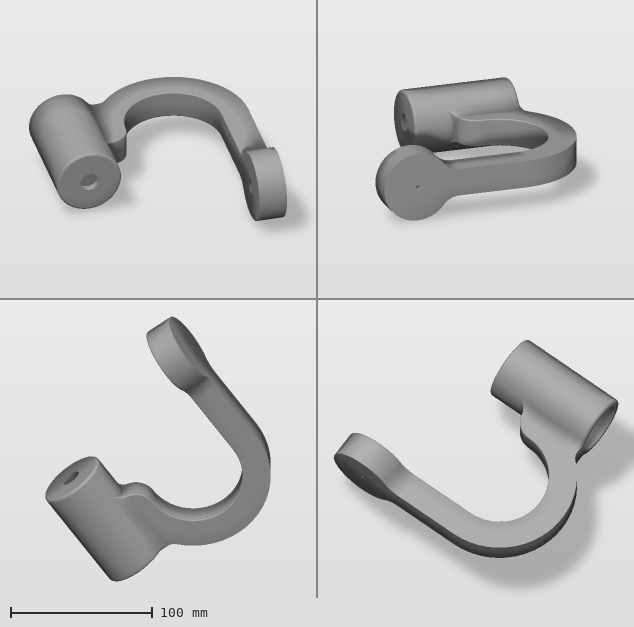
import cadquery as cq
import math

total_length = 159.7
arm_thickness = 20.0
half_thickness = arm_thickness / 2

outer_bend_radius = 54.8
inner_bend_radius = outer_bend_radius - arm_thickness
shoulder_radius = 15.0
heel_radius = 8.0
inner_edge_radius = 1.0

disc_diameter = 50.0
disc_radius = disc_diameter / 2
neck_radius = 15.0
pocket_diameter = 10.4
pocket_depth = 15.0
pin_hole_diameter = 2.5

tube_radius = 23.5
tube_length = 79.4
tube_start_x = 20.8
tube_edge_radius = 2.0
tube_axis_y = -128.4
bore_diameter = 37.2
end_wall = 5.0
end_hole_diameter = 13.3
blend_radius = 10.0

bend_x = outer_bend_radius
bend_y = -outer_bend_radius
disc_x = total_length - disc_radius
shoulder_y = bend_y - inner_bend_radius - shoulder_radius

blend_center_z = half_thickness + blend_radius
blend_top_y = tube_axis_y + math.sqrt((tube_radius + blend_radius) ** 2 - blend_center_z**2)
blend_angle = math.degrees(math.atan2(blend_center_z, blend_top_y - tube_axis_y))


def polar(center_x, center_y, radius, degrees):
    """The point at a given angle on a circle."""
    angle = math.radians(degrees)
    return center_x + radius * math.cos(angle), center_y + radius * math.sin(angle)


def mirrored(point):
    """The same profile point on the other side of the mid-thickness plane."""
    return point[0], -point[1]


blend_foot = polar(tube_axis_y, 0, tube_radius, blend_angle)
blend_middle = polar(blend_top_y, blend_center_z, blend_radius, (180 + blend_angle + 270) / 2)


def make_plan(height):
    """The hook in plan, from the straight back round to the shoulder and heel on the tube."""
    heel_x = tube_start_x - heel_radius
    heel_y = bend_y - math.sqrt((outer_bend_radius + heel_radius) ** 2 - (bend_x - heel_x) ** 2)
    heel_angle = math.degrees(math.atan2(bend_y - heel_y, bend_x - heel_x))

    flare_y = blend_foot[0] + blend_radius
    flare_x = bend_x + math.sqrt((shoulder_radius + blend_radius) ** 2 - (flare_y - shoulder_y) ** 2)
    flare_angle = math.degrees(math.atan2(flare_y - shoulder_y, flare_x - bend_x))

    return (
        cq.Workplane("XY")
        .workplane(offset=-height / 2)
        .moveTo(disc_x, 0)
        .lineTo(bend_x, 0)
        .threePointArc((0, bend_y), polar(heel_x, heel_y, heel_radius, heel_angle))
        .threePointArc(polar(heel_x, heel_y, heel_radius, heel_angle / 2), (tube_start_x, heel_y))
        .lineTo(tube_start_x, tube_axis_y)
        .lineTo(flare_x, tube_axis_y)
        .lineTo(flare_x, blend_foot[0])
        .threePointArc(
            polar(flare_x, flare_y, blend_radius, (180 + flare_angle + 270) / 2),
            polar(bend_x, shoulder_y, shoulder_radius, flare_angle),
        )
        .threePointArc(
            polar(bend_x, shoulder_y, shoulder_radius, (flare_angle + 90) / 2),
            (bend_x, shoulder_y + shoulder_radius),
        )
        .threePointArc((bend_x - inner_bend_radius, bend_y), (bend_x, bend_y + inner_bend_radius))
        .lineTo(disc_x, -arm_thickness)
        .close()
        .extrude(height)
    )


def make_side():
    """The arm seen along X: a flat slab that swells into the tube along the two blends."""
    return (
        cq.Workplane("YZ")
        .moveTo(0, half_thickness)
        .lineTo(blend_top_y, half_thickness)
        .threePointArc(blend_middle, blend_foot)
        .lineTo(tube_axis_y, 0)
        .lineTo(*mirrored(blend_foot))
        .threePointArc(mirrored(blend_middle), (blend_top_y, -half_thickness))
        .lineTo(0, -half_thickness)
        .close()
        .extrude(total_length)
    )


def make_disc():
    """The end disc, with concave necks blending it into the straight part of the arm."""
    neck_z = half_thickness + neck_radius
    neck_x = disc_x - math.sqrt((disc_radius + neck_radius) ** 2 - neck_z**2)
    neck_angle = math.degrees(math.atan2(neck_z, disc_x - neck_x))
    join = polar(disc_x, 0, disc_radius, 180 - neck_angle)
    middle = polar(neck_x, neck_z, neck_radius, -(90 + neck_angle) / 2)
    return (
        cq.Workplane("XZ")
        .moveTo(neck_x, half_thickness)
        .threePointArc(middle, join)
        .threePointArc((total_length, 0), mirrored(join))
        .threePointArc(mirrored(middle), (neck_x, -half_thickness))
        .close()
        .extrude(arm_thickness)
    )


def make_tube():
    """The solid tube body, before it is bored."""
    return (
        cq.Workplane("YZ", origin=(tube_start_x, tube_axis_y, 0))
        .circle(tube_radius)
        .extrude(tube_length)
    )


def make_foot_zone(height):
    """A block around the arm from the tube axis up to where the blends begin."""
    return (
        cq.Workplane("XY", origin=(0, tube_axis_y, 0))
        .box(total_length, blend_top_y - tube_axis_y, height, centered=(False, False, True))
    )


def round_edge(body, point, radius):
    """Round the edge nearest to a point, together with the edges that run smoothly on from it."""
    return body.edges(cq.NearestToPointSelector(point)).fillet(radius)


def cut_disc_hole(body):
    """A blind pocket in the inner face of the disc, with a pin hole on through the rest."""
    inner_face = cq.Workplane("XZ", origin=(disc_x, -arm_thickness, 0))
    pocket = inner_face.circle(pocket_diameter / 2).extrude(-pocket_depth)
    pin_hole = inner_face.circle(pin_hole_diameter / 2).extrude(-arm_thickness)
    return body.cut(pocket).cut(pin_hole)


def cut_tube_bore(body):
    """A wide bore from the open end of the tube, with a smaller hole through its end wall."""
    open_end = cq.Workplane("YZ", origin=(tube_start_x, tube_axis_y, 0))
    bore = open_end.circle(bore_diameter / 2).extrude(tube_length - end_wall)
    end_hole = open_end.circle(end_hole_diameter / 2).extrude(tube_length)
    return body.cut(bore).cut(end_hole)


arm = make_plan(2 * tube_radius).intersect(make_side()).union(make_disc())
arm = round_edge(arm, (total_length, -arm_thickness, 0), inner_edge_radius)

foot_zone = make_foot_zone(2 * tube_radius)
foot = arm.intersect(foot_zone)
hook = arm.cut(foot_zone)

socket = foot.union(make_tube())
for end_x in (tube_start_x, tube_start_x + tube_length):
    socket = round_edge(socket, (end_x, tube_axis_y - tube_radius, 0), tube_edge_radius)
web = foot.intersect(make_foot_zone(arm_thickness))

body = hook.union(web).union(socket)
result = cut_tube_bore(cut_disc_hole(body))